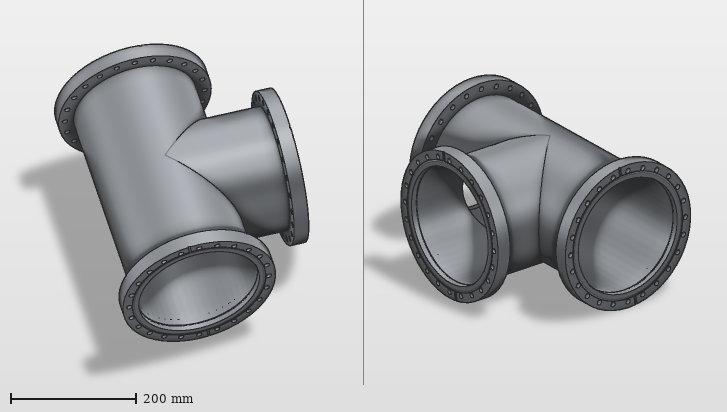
import cadquery as cq

length = 406.5
face_distance = length / 2

flange_diameter = 253.0
flange_thickness = 24.5
flange_bore_diameter = 200.0

tube_outer_diameter = 203.5
tube_inner_diameter = 199.0
tube_inset = 11.5

bolt_count = 24
bolt_circle_diameter = 231.5
bolt_hole_diameter = 8.5

recess_diameter = 221.5
recess_depth = 1.0
knife_edge_diameter = 215.5
knife_groove_depth = 1.5

leak_groove_width = 3.3
leak_groove_depth = 1.2
leak_groove_count = 2
leak_groove_overrun = 1.0

flange_radius = flange_diameter / 2
bore_radius = flange_bore_diameter / 2
recess_radius = recess_diameter / 2
knife_radius = knife_edge_diameter / 2
tube_outer_radius = tube_outer_diameter / 2
tube_inner_radius = tube_inner_diameter / 2
tube_reach = face_distance - tube_inset
bolt_pitch_angle = 360 / bolt_count
leak_groove_angle = bolt_pitch_angle / 2

port_turns = [0, -90, 180]


def flange_blank():
    """Ring with its mating face at x = -face_distance, turned about the X axis."""
    face = -face_distance
    back = face + flange_thickness
    profile = (
        cq.Workplane("XY")
        .moveTo(face, flange_radius)
        .lineTo(face, recess_radius)
        .lineTo(face + knife_groove_depth, recess_radius)
        .lineTo(face + recess_depth, knife_radius)
        .lineTo(face + recess_depth, bore_radius)
        .lineTo(face + tube_inset, bore_radius)
        .lineTo(face + tube_inset, tube_outer_radius)
        .lineTo(back, tube_outer_radius)
        .lineTo(back, flange_radius)
        .close()
    )
    return profile.revolve(360, (0, 0, 0), (1, 0, 0))


def bolt_holes():
    """Circle of through holes, one of them straight above the axis."""
    return (
        cq.Workplane("YZ", origin=(-face_distance, 0, 0))
        .polarArray(bolt_circle_diameter / 2, 90, 360, bolt_count)
        .circle(bolt_hole_diameter / 2)
        .extrude(flange_thickness)
    )


def leak_grooves():
    """Shallow radial grooves across the flange face, opposite each other."""
    radial_length = flange_radius - recess_radius + 2 * leak_groove_overrun
    middle_radius = (flange_radius + recess_radius) / 2
    groove = (
        cq.Workplane("XY", origin=(-face_distance, 0, middle_radius))
        .box(2 * leak_groove_depth, leak_groove_width, radial_length)
    )
    grooves = cq.Workplane("XY")
    for i in range(leak_groove_count):
        angle = i * 360 / leak_groove_count - leak_groove_angle
        grooves = grooves.add(groove.rotate((0, 0, 0), (1, 0, 0), angle))
    return grooves.combine()


def make_flange(turn):
    flange = flange_blank().cut(bolt_holes()).cut(leak_grooves())
    return flange.rotate((0, 0, 0), (0, 0, 1), turn)


def tee_shape(radius):
    """Solid tee of one radius: the run along X and the branch toward +Y."""
    run = cq.Workplane("YZ").circle(radius).extrude(tube_reach, both=True)
    branch = cq.Workplane("XZ").circle(radius).extrude(-tube_reach)
    return run.union(branch)


def make_tee_tube():
    return tee_shape(tube_outer_radius).cut(tee_shape(tube_inner_radius))


tee_tube = make_tee_tube()
flanges = [make_flange(turn) for turn in port_turns]

result = cq.Compound.makeCompound([tee_tube.val(), *[flange.val() for flange in flanges]])